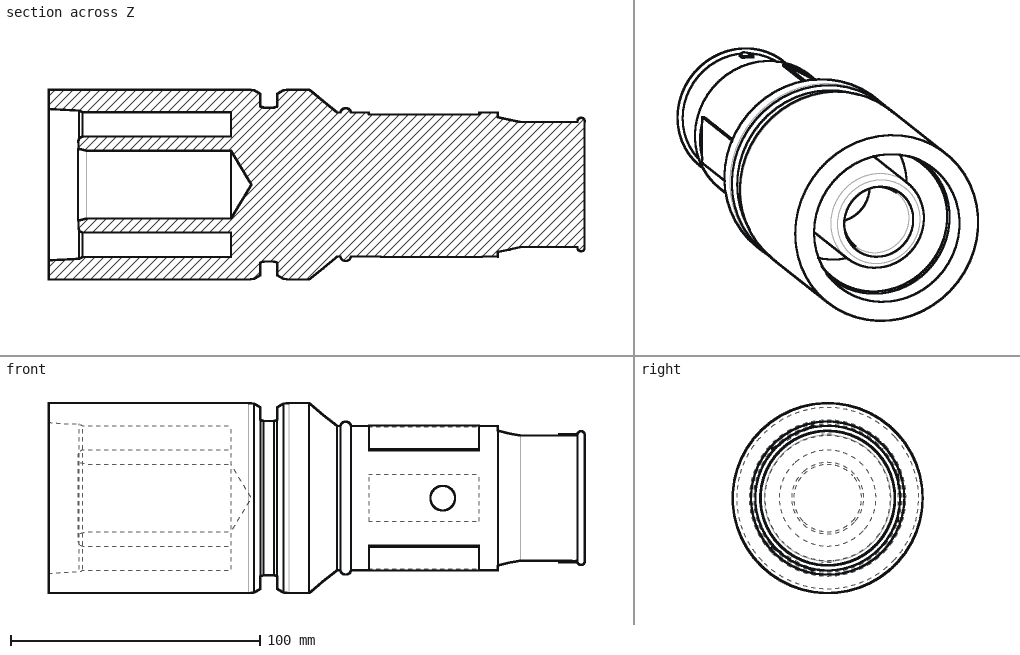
import cadquery as cq
import math

LENGTH = 214.9

body_diameter = 76.3
body_radius = body_diameter / 2
neck_radius = 31.0
handle_radius = 29.0
bead_radius = 30.7
taper_radius = 27.0
tail_radius = 25.1
end_bead_radius = 26.9

body_end = 84.9
flange_start = 91.5
cone_start = 104.5
cone_end = 115.5
bead_start = 117.0
bead_end = 121.2
handle_end = 180.0
taper_end = 189.0
end_bead_start = 211.9

ease_length = 2.1
ease_drop = 0.2
bevel_length = 2.5
bevel_drop = 1.5

foot_length = 1.3
foot_rise = 0.5

mouth_radius = 30.3
mouth_end_radius = 29.7
mouth_depth = 12.2
socket_radius = 29.0
socket_step_end = 13.5
socket_depth = 73.0

spigot_radius = 19.3
spigot_start = 11.8
spigot_round = 2.1
bore_mouth_radius = 14.5
bore_radius = 13.5
bore_chamfer_length = 3.5
bore_depth = socket_depth
drill_point_angle = 118.0

pad_start = 128.3
pad_length = 44.3
pad_width = 19.0
pad_height = 28.1
pad_count = 3

button_position = 158.0
button_radius = 5.0
button_height = handle_radius

arrow_start = 204.5
arrow_shoulder = 208.5
arrow_tip = 211.5
arrow_width = 4.7
arrow_height = 25.8


def revolve_about_x(profile):
    """Turn a closed XY profile (X along the axis, Y as radius) about the X axis."""
    return profile.close().revolve(360, (0, 0, 0), (1, 0, 0))


def turned_body():
    bead_middle = (bead_start + bead_end) / 2
    end_bead_middle = (end_bead_start + LENGTH) / 2
    end_bead_side = end_bead_radius - (LENGTH - end_bead_start) / 2
    eased_radius = body_radius - ease_drop
    bevel_radius = eased_radius - bevel_drop
    foot_radius = neck_radius + foot_rise
    return revolve_about_x(
        cq.Workplane("XY")
        .moveTo(0, 0)
        .lineTo(0, body_radius)
        .lineTo(body_end - bevel_length - ease_length, body_radius)
        .lineTo(body_end - bevel_length, eased_radius)
        .lineTo(body_end, bevel_radius)
        .lineTo(body_end, foot_radius)
        .lineTo(body_end + foot_length, neck_radius)
        .lineTo(flange_start - foot_length, neck_radius)
        .lineTo(flange_start, foot_radius)
        .lineTo(flange_start, bevel_radius)
        .lineTo(flange_start + bevel_length, eased_radius)
        .lineTo(flange_start + bevel_length + ease_length, body_radius)
        .lineTo(cone_start, body_radius)
        .lineTo(cone_end, handle_radius)
        .lineTo(bead_start, handle_radius)
        .threePointArc((bead_middle, bead_radius), (bead_end, handle_radius))
        .lineTo(handle_end, handle_radius)
        .lineTo(handle_end, taper_radius)
        .lineTo(taper_end, tail_radius)
        .lineTo(end_bead_start, tail_radius)
        .lineTo(end_bead_start, end_bead_side)
        .threePointArc((end_bead_middle, end_bead_radius), (LENGTH, end_bead_side))
        .lineTo(LENGTH, 0)
    )


def socket():
    return revolve_about_x(
        cq.Workplane("XY")
        .moveTo(0, 0)
        .lineTo(0, mouth_radius)
        .lineTo(mouth_depth, mouth_end_radius)
        .lineTo(socket_step_end, socket_radius)
        .lineTo(socket_depth, socket_radius)
        .lineTo(socket_depth, 0)
    )


def spigot():
    round_offset = spigot_round * (1 - math.sqrt(0.5))
    return revolve_about_x(
        cq.Workplane("XY")
        .moveTo(spigot_start, 0)
        .lineTo(spigot_start, spigot_radius - spigot_round)
        .threePointArc(
            (spigot_start + round_offset, spigot_radius - round_offset),
            (spigot_start + spigot_round, spigot_radius),
        )
        .lineTo(socket_depth, spigot_radius)
        .lineTo(socket_depth, 0)
    )


def spigot_bore():
    point_length = bore_radius / math.tan(math.radians(drill_point_angle / 2))
    return revolve_about_x(
        cq.Workplane("XY")
        .moveTo(spigot_start, 0)
        .lineTo(spigot_start, bore_mouth_radius)
        .lineTo(spigot_start + bore_chamfer_length, bore_radius)
        .lineTo(bore_depth, bore_radius)
        .lineTo(bore_depth + point_length, 0)
    )


def box_on_side(width, bottom, top):
    """Box over the pad length, reaching from bottom to top along +Y."""
    return (
        cq.Workplane("XY")
        .box(pad_length, top - bottom, width, centered=(False, False, True))
        .translate((pad_start, bottom, 0))
    )


def add_label_pads(part):
    clearing = box_on_side(2 * handle_radius, pad_height, 2 * handle_radius)
    pad = box_on_side(pad_width, tail_radius, pad_height)
    for index in range(pad_count):
        angle = index * 360 / pad_count
        part = part.cut(clearing.rotate((0, 0, 0), (1, 0, 0), angle))
        part = part.union(pad.rotate((0, 0, 0), (1, 0, 0), angle))
    return part


def button():
    return (
        cq.Workplane("XZ", origin=(button_position, -tail_radius, 0))
        .circle(button_radius)
        .extrude(button_height - tail_radius)
    )


def arrows():
    """One tall prism through the axis, ending in an arrow on both sides."""
    return (
        cq.Workplane("XY")
        .moveTo(arrow_start, -arrow_width / 2)
        .lineTo(arrow_shoulder, -arrow_width / 2)
        .lineTo(arrow_tip, 0)
        .lineTo(arrow_shoulder, arrow_width / 2)
        .lineTo(arrow_start, arrow_width / 2)
        .close()
        .extrude(arrow_height, both=True)
    )


part = turned_body().cut(socket()).union(spigot()).cut(spigot_bore())
part = add_label_pads(part)
part = part.union(button()).union(arrows())
result = cq.Workplane(part.solids().val())